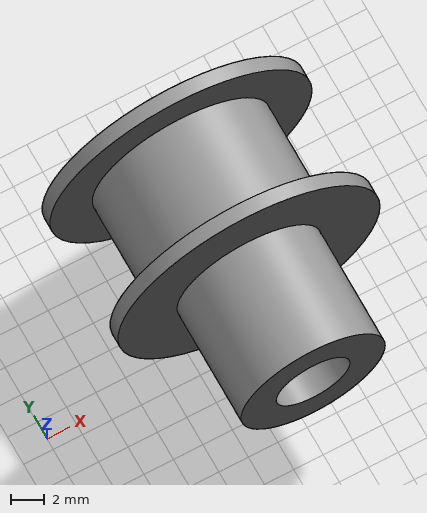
import cadquery as cq

overall_length = 17.5
flange_diameter = 17.8
flange_thickness = 1.0
drum_diameter = 12.07
drum_length = 7.5
hub_diameter = 9.79
bore_diameter = 5.0

hub_length = overall_length - drum_length - 2 * flange_thickness

front_flange_start = hub_length
drum_start = front_flange_start + flange_thickness
rear_flange_start = drum_start + drum_length


def cylinder_along_y(diameter, start, length):
    """Solid cylinder on the Y axis, growing toward +Y from start."""
    plane = cq.Plane(origin=(0, start, 0), xDir=(1, 0, 0), normal=(0, 1, 0))
    return cq.Workplane(plane).circle(diameter / 2).extrude(length)


hub = cylinder_along_y(hub_diameter, 0, hub_length)
drum = cylinder_along_y(drum_diameter, drum_start, drum_length)
body = hub.union(drum)
for flange_start in (front_flange_start, rear_flange_start):
    body = body.union(cylinder_along_y(flange_diameter, flange_start, flange_thickness))

bore = cylinder_along_y(bore_diameter, 0, overall_length)
result = body.cut(bore)